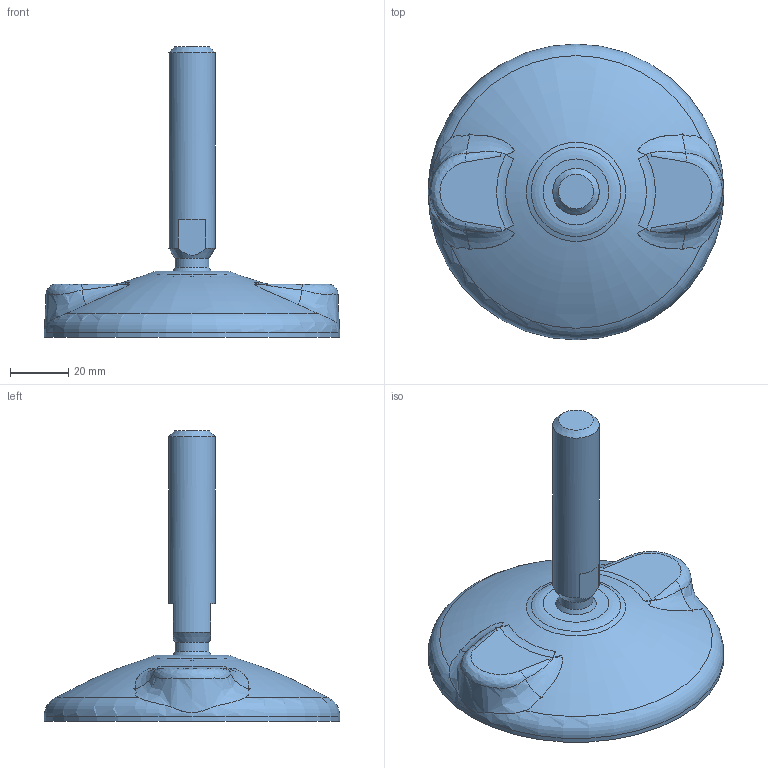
import cadquery as cq
import math


base_radius = 51.005
rim_height = 1.6
dome_outer_radius = 47.0
dome_outer_height = 8.1
dome_inner_radius = 17.1
dome_inner_height = 21.0
dome_curvature = 130.0
hub_radius = 15.4
hub_height = 21.7
seat_radius = 11.35
seat_height = 22.7

lug_top = 18.2
lug_tip = 46.9
lug_nose_radius = 10.36
lug_flare = 10.0
lug_side_end = 24.1
lug_root = 1.0
lug_round = 3.5
lug_fillet = 9.2
wall_angle = 88.0
fillet_bite = 4.0
longest_reach = 16.0
nose_angles = (20, 40, 55, 68)
side_steps = (0, 0.35, 0.7, 0.88, 1)
end_heading = 155.0
flank_turn = 1.25
blend_inner_radius = 24.3
blend_outer_radius = 27.4
blend_half_angle = 28.0
overlap = 1.5
overlap_rise = 0.3

stem_top = 100.0
stem_radius = 8.0
stem_chamfer = 2.0
shank_bottom = 30.6
taper_bottom = 27.15
neck_radius = 5.85
flare_top = 24.05
flare_bottom = 21.9
stem_foot_radius = 6.95
socket_floor = 16.0
across_flats = 13.0
flats_top = 40.5

rim_rise = dome_outer_height - rim_height
rim_inset = base_radius - dome_outer_radius
rim_round = (rim_rise ** 2 + rim_inset ** 2) / (2 * rim_inset)
rim_centre = base_radius - rim_round

hub_turn = 2 * math.atan2(seat_height - hub_height, hub_radius - seat_radius)
hub_round = (hub_radius - seat_radius) / math.sin(hub_turn)

chord_run = dome_outer_radius - dome_inner_radius
chord_drop = dome_inner_height - dome_outer_height
chord = math.hypot(chord_run, chord_drop)
chord_to_centre = math.sqrt(dome_curvature ** 2 - (chord / 2) ** 2)
dome_centre_r = (dome_inner_radius + dome_outer_radius) / 2 - chord_to_centre * chord_drop / chord
dome_centre_z = (dome_inner_height + dome_outer_height) / 2 - chord_to_centre * chord_run / chord


def base_surface(r):
    """Height and downward slope (in radians) of the base's upper surface at radius r."""
    if r > dome_outer_radius:
        centre_r, centre_z, radius = rim_centre, rim_height, rim_round
    else:
        centre_r, centre_z, radius = dome_centre_r, dome_centre_z, dome_curvature
    slope = math.asin((r - centre_r) / radius)
    return centre_z + radius * math.cos(slope), slope


def dome():
    rim_middle = (base_radius + dome_outer_radius + rim_inset / 3) / 2
    dome_middle = (dome_inner_radius + dome_outer_radius) / 2
    hub_middle = (
        seat_radius + hub_round * math.sin(hub_turn / 2),
        seat_height - hub_round * (1 - math.cos(hub_turn / 2)),
    )
    profile = (
        cq.Workplane("XZ")
        .lineTo(base_radius, 0)
        .lineTo(base_radius, rim_height)
        .threePointArc((rim_middle, base_surface(rim_middle)[0]), (dome_outer_radius, dome_outer_height))
        .threePointArc((dome_middle, base_surface(dome_middle)[0]), (dome_inner_radius, dome_inner_height))
        .lineTo(hub_radius, hub_height)
        .threePointArc(hub_middle, (seat_radius, seat_height))
        .lineTo(0, seat_height)
        .close()
    )
    return profile.revolve(360, (0, 0, 0), (0, 1, 0))


nose_centre = lug_tip - lug_nose_radius
shoulder_angle = 90 - lug_flare
flare = math.radians(lug_flare)
shoulder_x = nose_centre + lug_nose_radius * math.sin(flare)
shoulder_y = lug_nose_radius * math.cos(flare)
side_end_y = shoulder_y + (shoulder_x - lug_side_end) * math.tan(flare)


def blend_from_foot(start, along, reach):
    """Fit the edge rounding and the hollow fillet to a fillet foot at the given reach.

    Returns the reach that they would need, the end slope of the rounding, and the foot's height and slope.
    """
    foot = start + along * reach
    foot_radius = math.hypot(foot.x, foot.y)
    foot_z, steepest = base_surface(foot_radius)
    slope = math.atan(math.tan(steepest) * foot.dot(along) / foot_radius)
    both = lug_round + lug_fillet
    cosine = (lug_round + lug_fillet * math.cos(slope) - lug_top + foot_z) / both
    wall = math.radians(wall_angle)
    angle = min(math.acos(min(cosine, 1)), wall)
    wall_run = both * (math.cos(angle) - cosine) / math.tan(wall)
    needed = both * math.sin(angle) - lug_fillet * math.sin(slope) + max(wall_run, 0)
    return needed, angle, foot_z, slope


def fillet_reach(start, along):
    """Plan distance at which the hollow fillet is tangent to the base, found by halving an interval."""
    shortest = 0
    longest = longest_reach
    for _ in range(40):
        reach = (shortest + longest) / 2
        inside = (start + along * reach).Length < base_radius
        if inside and blend_from_foot(start, along, reach)[0] > reach:
            shortest = reach
        else:
            longest = reach
    return shortest


def flank_section(x, y, heading):
    """Upright section of the lug's edge, from the flat top at (x, y) out to its foot on the base."""
    along = cq.Vector(math.cos(math.radians(heading)), math.sin(math.radians(heading)), 0)
    start = cq.Vector(x, y, 0)
    reach = fillet_reach(start, along)
    _, angle, foot_z, slope = blend_from_foot(start, along, reach)

    def at(distance, z):
        return start + along * distance + cq.Vector(0, 0, z)

    def on_round(turn):
        return at(lug_round * math.sin(turn), lug_top - lug_round * (1 - math.cos(turn)))

    def downhill(turn):
        return along * math.cos(turn) - cq.Vector(0, 0, math.sin(turn))

    top_edge = at(0, lug_top)
    round_end = on_round(angle)
    foot = at(reach, foot_z)
    foot_slope = slope + math.radians(fillet_bite)
    foot_root = at(reach, lug_root)
    inner_root = at(-overlap, lug_root)
    inner_top = at(-overlap, lug_top + overlap_rise)
    edges = [
        cq.Edge.makeLine(inner_top, top_edge),
        cq.Edge.makeThreePointArc(top_edge, on_round(angle / 2), round_end),
        cq.Edge.makeSpline([round_end, foot], tangents=[downhill(angle), downhill(foot_slope)]),
        cq.Edge.makeLine(foot, foot_root),
        cq.Edge.makeLine(foot_root, inner_root),
        cq.Edge.makeLine(inner_root, inner_top),
    ]
    return cq.Wire.assembleEdges(edges)


def mix(a, b, t):
    """Value a share t of the way from a to b."""
    return a + (b - a) * t


def side_section(t, side):
    """Section on a straight lug side; t runs from 0 at the shoulder to 1 where the side runs out."""
    return flank_section(
        mix(shoulder_x, lug_side_end, t),
        side * mix(shoulder_y, side_end_y, t),
        side * mix(shoulder_angle * flank_turn, end_heading, t ** 4),
    )


def nose_section(angle):
    """Section on the rounded nose; the angle is measured from the X axis, in degrees."""
    return flank_section(
        nose_centre + lug_nose_radius * math.cos(math.radians(angle)),
        lug_nose_radius * math.sin(math.radians(angle)),
        angle * flank_turn,
    )


def nose_flank():
    left = [nose_section(angle) for angle in reversed(nose_angles)]
    right = [nose_section(-angle) for angle in nose_angles]
    return cq.Solid.makeLoft([side_section(0, 1)] + left + [nose_section(0)] + right + [side_section(0, -1)])


def side_flank(side):
    return cq.Solid.makeLoft([side_section(t, side) for t in side_steps])


def lug():
    flank = cq.Workplane(obj=nose_flank())
    for side in (1, -1):
        flank = flank.union(cq.Workplane(obj=side_flank(side)))
    inset = overlap / 2
    core = (
        cq.Workplane("XY", origin=(0, 0, lug_root))
        .moveTo(lug_side_end, -side_end_y + inset)
        .lineTo(shoulder_x, -shoulder_y + inset)
        .threePointArc((lug_tip - inset, 0), (shoulder_x, shoulder_y - inset))
        .lineTo(lug_side_end, side_end_y - inset)
        .close()
        .extrude(lug_top)
    )
    trim = cq.Workplane("XY", origin=(0, 0, lug_top)).rect(4 * base_radius, 4 * base_radius).extrude(lug_top)
    return core.union(flank).cut(trim)


def lug_blend():
    profile = (
        cq.Workplane("XZ")
        .moveTo(blend_outer_radius + overlap, lug_root)
        .lineTo(blend_outer_radius + overlap, lug_top)
        .lineTo(blend_outer_radius, lug_top)
        .tangentArcPoint((blend_inner_radius, base_surface(blend_inner_radius)[0]), relative=False)
        .lineTo(blend_inner_radius, lug_root)
        .close()
    )
    wedge = profile.revolve(2 * blend_half_angle, (0, 0, 0), (0, 1, 0))
    return wedge.rotate((0, 0, 0), (0, 0, 1), -blend_half_angle)


def base():
    grip = lug().union(lug_blend())
    body = dome()
    for angle in (0, 180):
        body = body.union(grip.rotate((0, 0, 0), (0, 0, 1), angle))
    socket = cq.Workplane("XY", origin=(0, 0, socket_floor)).circle(stem_foot_radius).extrude(seat_height)
    return body.cut(socket)


def stem():
    profile = (
        cq.Workplane("XZ")
        .moveTo(0, socket_floor)
        .lineTo(stem_foot_radius, socket_floor)
        .lineTo(stem_foot_radius, flare_bottom)
        .lineTo(neck_radius, flare_top)
        .lineTo(neck_radius, taper_bottom)
        .lineTo(stem_radius, shank_bottom)
        .lineTo(stem_radius, stem_top - stem_chamfer)
        .lineTo(stem_radius - stem_chamfer, stem_top)
        .lineTo(0, stem_top)
        .close()
    )
    body = profile.revolve(360, (0, 0, 0), (0, 1, 0))
    for side in (1, -1):
        flat = (
            cq.Workplane("XY", origin=(0, side * (across_flats / 2 + stem_radius / 2), taper_bottom))
            .rect(2 * stem_radius, stem_radius)
            .extrude(flats_top - taper_bottom)
        )
        body = body.cut(flat)
    return body


result = cq.Compound.makeCompound([base().val(), stem().val()])